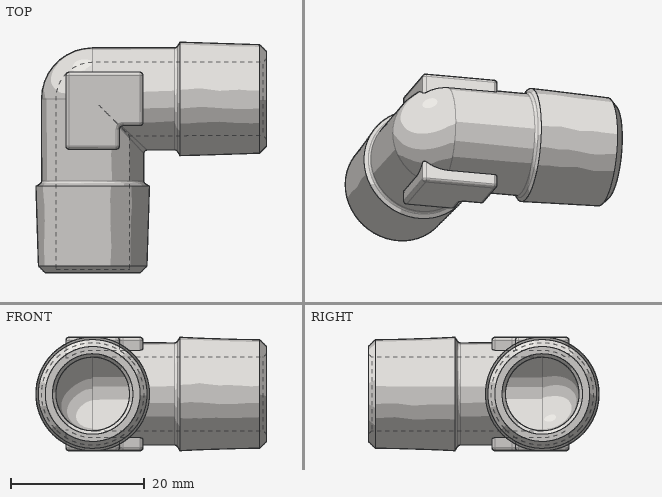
import cadquery as cq
import math

overall_length = 34.5
collar_diameter = 17.0
collar_radius = collar_diameter / 2
arm_length = overall_length - collar_radius

pipe_radius = 7.65
valley_fillet = 0.5
bore_diameter = 11.0
bore_radius = bore_diameter / 2
bore_chamfer = 0.52

collar_start = 13.05
shoulder_height = collar_radius - pipe_radius
shoulder_angle = math.radians(60)
root_radius = 0.52
end_chamfer = 1.05
taper_ratio = 1 / 32
taper_end = arm_length - end_chamfer
taper_end_radius = collar_radius - (taper_end - collar_start) * taper_ratio

pad_near = 4.0
pad_far = 7.52
pad_height = collar_radius
pad_base = 1.72
pad_round = 0.5
pad_inner_radius = 0.52


def along_minus_y(body):
    """Turn a body lying along +X so that it lies along -Y."""
    return body.rotate((0, 0, 0), (0, 0, 1), -90)


def close_and_revolve(profile, radius, rounded):
    """Finish an arm profile at the elbow, with a hemisphere or flat, and revolve it about X."""
    if rounded:
        diagonal = radius * math.sqrt(0.5)
        profile = profile.threePointArc((-diagonal, diagonal), (-radius, 0))
    else:
        profile = profile.lineTo(0, 0)
    return profile.close().revolve(360, (0, 0, 0), (1, 0, 0))


def make_arm(rounded):
    """Outside of one arm: pipe, flared shoulder, taper and end chamfer."""
    root_height = root_radius * (1 - math.cos(shoulder_angle))
    cone_length = (shoulder_height - root_height) / math.tan(shoulder_angle)
    cone_start = collar_start - cone_length
    root_start = cone_start - root_radius * math.sin(shoulder_angle)
    root_end = (cone_start, pipe_radius + root_height)
    half_angle = shoulder_angle / 2
    root_middle = (
        root_start + root_radius * math.sin(half_angle),
        pipe_radius + root_radius * (1 - math.cos(half_angle)),
    )
    profile = (
        cq.Workplane("XY")
        .moveTo(arm_length, 0)
        .lineTo(arm_length, taper_end_radius - end_chamfer)
        .lineTo(taper_end, taper_end_radius)
        .lineTo(collar_start, collar_radius)
        .lineTo(*root_end)
        .threePointArc(root_middle, (root_start, pipe_radius))
        .lineTo(0, pipe_radius)
    )
    return close_and_revolve(profile, pipe_radius, rounded)


def make_bore(rounded):
    """Bore of one arm, with a conical lead-in at its mouth."""
    profile = (
        cq.Workplane("XY")
        .moveTo(arm_length, 0)
        .lineTo(arm_length, bore_radius + bore_chamfer)
        .lineTo(arm_length - bore_chamfer, bore_radius)
        .lineTo(0, bore_radius)
    )
    return close_and_revolve(profile, bore_radius, rounded)


def make_pad():
    """Upper wrench pad, rounded on its top and upright edges."""
    outline = [
        (-pad_near, pad_near),
        (pad_far, pad_near),
        (pad_far, -pad_near),
        (pad_near, -pad_near),
        (pad_near, -pad_far),
        (-pad_near, -pad_far),
    ]
    base = cq.Workplane("XY").workplane(offset=pad_base)
    pad = base.polyline(outline).close().extrude(pad_height - pad_base)
    inner_corner = cq.selectors.NearestToPointSelector((pad_near, -pad_near, pad_height / 2))
    pad = pad.edges("|Z").edges(inner_corner).fillet(pad_inner_radius)
    inner_region = cq.selectors.BoxSelector(
        (pad_near - pad_inner_radius, -pad_near - 2 * pad_inner_radius, 0),
        (pad_near + 2 * pad_inner_radius, -pad_near + pad_inner_radius, pad_height),
    )
    outer_edges = pad.edges("|Z").edges(cq.selectors.InverseSelector(inner_region))
    return outer_edges.add(pad.faces(">Z").edges()).fillet(pad_round)


elbow = make_arm(True).union(along_minus_y(make_arm(False)))
valley = cq.selectors.BoxSelector(
    (pad_near / 2, -pad_far, -pipe_radius),
    (pad_far, -pad_near / 2, pipe_radius),
)
elbow = elbow.edges(valley).fillet(valley_fillet)

pad = make_pad()
elbow = elbow.union(pad).union(pad.mirror("XY"))

passage = make_bore(True).union(along_minus_y(make_bore(False)))
result = elbow.cut(passage)